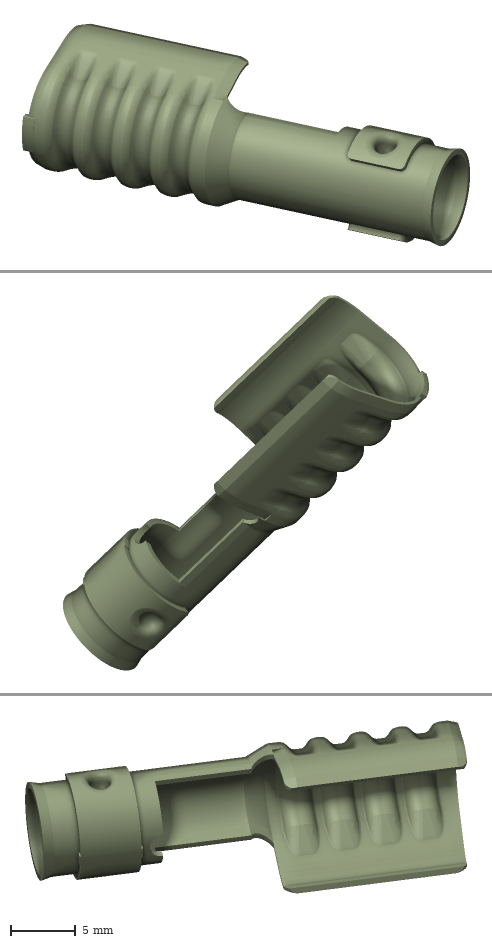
import cadquery as cq
import math

LENGTH = 34.55
SHEET = 0.5

BARREL_END = 15.55
BARREL_RADIUS = 4.85
BARREL_BOTTOM = -4.35
BARREL_CENTRE = BARREL_BOTTOM + BARREL_RADIUS
FLAP_LEAN = math.radians(19)
CROWN_RADIUS = 4.85
CROWN_START = 1.95
LIP_START = 4.15
LIP_DROP = math.radians(23)
LIP_TIP = 4.97
LIP_CORNER = 0.9

BEVEL_DEPTH = 0.25
BEVEL_LENGTH = 0.93
MOUTH_BEVEL_LENGTH = 0.8
MOUTH_X = 0.65
MOUTH_SLOPE = 0.08
REAR_BEVEL_FLOOR = -0.7

TONGUE_WIDTH = 3.05
TONGUE_LENGTH = 0.95

GROOVE_COUNT = 4
GROOVE_PITCH = 3.28
GROOVE_FIRST = 3.35
GROOVE_DEPTH = 0.73
GROOVE_FLOOR_WIDTH = 1.07
GROOVE_FLANK = math.radians(51)
GROOVE_RUNOUT = math.radians(36)
GROOVE_FILLET = 0.7
GROOVE_SPREAD = 0.14
KINK_CLEARANCE = -0.55

TUBE_RADIUS = 3.7
TUBE_BORE = TUBE_RADIUS - SHEET
TUBE_START = 17.3
WINDOW_END = 25.0
WINDOW_FLOOR = 0.07
RIM_FLAT_BOTTOM = -0.55
NECK_NOTCH_RADIUS = 1.0
NECK_NOTCH_X = 16.45
NECK_NOTCH_Y = 0.52
SEAM_NOTCH_RADIUS = 1.1
FLARE_LENGTH = 0.83
FLARE_RISE = 0.2

BAND_WALL = 0.5
BAND_RADIUS = TUBE_RADIUS + BAND_WALL
BAND_START = 26.85
BAND_WIDTH = 4.85
BAND_BOTTOM = -2.65
BAND_CORNER = 0.4
BAND_TAB_WIDTH = 0.95
BAND_TAB_REACH = 0.1

DIMPLE_X = BAND_START + BAND_WIDTH / 2
DIMPLE_Y = -0.52
DIMPLE_TIP = 2.55
DIMPLE_RADIUS = 1.1
DIMPLE_WALL = 0.25
HOLLOW_RADIUS = 0.83
DIMPLE_FILLET = 0.65

FAR = 6.9
OVERRUN = 0.35
TOLERANCE = 0.005


def box(x, y, z):
    """Box from its (low, high) limits along each axis."""
    size = (x[1] - x[0], y[1] - y[0], z[1] - z[0])
    return cq.Workplane("XY").box(*size, centered=False).translate((x[0], y[0], z[0]))


def rod(x0, x1, radius, radius_end=None, centre=0.0, centre_end=None):
    """Solid along X, straight or tapering to a second radius and centre height."""
    radius_end = radius if radius_end is None else radius_end
    centre_end = centre if centre_end is None else centre_end
    return (
        cq.Workplane("YZ", origin=(x0, 0, 0)).center(centre, 0).circle(radius)
        .workplane(offset=x1 - x0).center(centre_end - centre, 0).circle(radius_end)
        .loft(ruled=True)
    )


def loft(first, second):
    return cq.Workplane(cq.Solid.makeLoft([first, second], True))


def prism(wire, length):
    return cq.Workplane(cq.Solid.extrudeLinear(wire, [], cq.Vector(length, 0, 0)))


def flap_points(depth):
    """Section points of the +Z flap on the surface lying `depth` inside the outer one."""
    lean_sin = math.sin(FLAP_LEAN)
    lean_cos = math.cos(FLAP_LEAN)
    wall_y = BARREL_CENTRE - BARREL_RADIUS * lean_sin
    wall_z = BARREL_RADIUS * lean_cos
    crown_z = wall_z + (CROWN_START - wall_y) * math.tan(FLAP_LEAN)
    centre_y = CROWN_START + CROWN_RADIUS * lean_sin
    centre_z = crown_z - CROWN_RADIUS * lean_cos

    drop_sin = math.sin(LIP_DROP)
    drop_cos = math.cos(LIP_DROP)
    bend_y = LIP_START - centre_y
    bend_z = math.sqrt(CROWN_RADIUS**2 - bend_y**2)
    lip_distance = bend_y * drop_sin + bend_z * drop_cos - depth
    crown_radius = CROWN_RADIUS - depth
    back = math.sqrt(crown_radius**2 - lip_distance**2)
    tip_z = centre_z + bend_z - (LIP_TIP - LIP_START) * math.tan(LIP_DROP)

    wall = (wall_y + depth * lean_sin, wall_z - depth * lean_cos)
    crown = (CROWN_START + depth * lean_sin, crown_z - depth * lean_cos)
    bend = (
        centre_y + lip_distance * drop_sin - back * drop_cos,
        centre_z + lip_distance * drop_cos + back * drop_sin,
    )
    tip = (LIP_TIP - depth * drop_sin, tip_z - depth * drop_cos)
    middle_angle = (math.atan2(crown[0] - centre_y, crown[1] - centre_z)
                    + math.atan2(bend[0] - centre_y, bend[1] - centre_z)) / 2
    middle = (
        centre_y + crown_radius * math.sin(middle_angle),
        centre_z + crown_radius * math.cos(middle_angle),
    )
    return wall, crown, middle, bend, tip


def mirror(point):
    return (point[0], -point[1])


def barrel_section(x, depth, ending=()):
    """Closed barrel section; `ending` holds extra corners after the +Z lip tip."""
    wall, crown, middle, bend, tip = flap_points(depth)
    path = (
        cq.Workplane("YZ", origin=(x, 0, 0)).moveTo(*tip).lineTo(*bend)
        .threePointArc(middle, crown).lineTo(*wall)
        .threePointArc((BARREL_BOTTOM + depth, 0), mirror(wall))
        .lineTo(*mirror(crown)).threePointArc(mirror(middle), mirror(bend))
        .lineTo(*mirror(tip))
    )
    for corner in ending:
        path = path.lineTo(*mirror(corner))
    for corner in reversed(ending):
        path = path.lineTo(*corner)
    return path.close().val()


def half_groove_floor(inset):
    return GROOVE_FLOOR_WIDTH / 2 + inset * math.tan(GROOVE_FLANK / 2)


def groove_profile(inset, spread):
    """Groove profile with rounded floor corners, its floor widened by `spread` per side."""
    floor = BARREL_RADIUS - GROOVE_DEPTH - inset
    floor_fillet = GROOVE_FILLET + inset
    half_floor = half_groove_floor(inset) + spread
    setback = floor_fillet * math.tan(GROOVE_FLANK / 2)
    flat = half_floor - setback
    half_top = half_floor + (FAR - floor) / math.tan(GROOVE_FLANK)
    arc_x = half_floor + setback * math.cos(GROOVE_FLANK)
    arc_y = floor + setback * math.sin(GROOVE_FLANK)
    middle_x = flat + floor_fillet * math.sin(GROOVE_FLANK / 2)
    middle_y = floor + floor_fillet * (1 - math.cos(GROOVE_FLANK / 2))
    return (
        cq.Workplane("XY").moveTo(-flat, floor).lineTo(flat, floor)
        .threePointArc((middle_x, middle_y), (arc_x, arc_y))
        .lineTo(half_top, FAR).lineTo(-half_top, FAR).lineTo(-arc_x, arc_y)
        .threePointArc((-middle_x, middle_y), (-flat, floor)).close()
    )


def groove_cutter(inset):
    """Groove bar at X = 0, bent round the trough and leaving its walls along run-outs.

    `inset` is 0 for the outer side of the sheet and SHEET for the inner side.
    """
    lean = math.degrees(FLAP_LEAN)
    bend = groove_profile(inset, 0).revolve(180 - 2 * lean, (0, 0, 0), (1, 0, 0))
    bend = bend.rotate((0, 0, 0), (1, 0, 0), 90 + lean)

    x_axis = cq.Vector(1, 0, 0)
    run = cq.Vector(0, math.cos(GROOVE_RUNOUT), math.sin(GROOVE_RUNOUT)) * FAR
    near = groove_profile(inset, 0).val().rotate(cq.Vector(), x_axis, 90 + lean)
    far = groove_profile(inset, GROOVE_SPREAD * FAR).val().rotate(cq.Vector(), x_axis, 90 + lean)
    runout = loft(near, far.translate(run))
    return bend.union(runout).union(runout.mirror("XY")).translate((0, BARREL_CENTRE, 0))


def rim_edges(body, half_rim):
    """Sharp rim of a groove at X = 0: straight sides round the bottom and run-out ends."""
    rim = []
    for edge in body.edges().vals():
        bounds = edge.BoundingBox()
        centre = edge.Center()
        near = max(-bounds.xmin, bounds.xmax) < half_rim + TOLERANCE
        side = bounds.xlen < TOLERANCE and abs(abs(centre.x) - half_rim) < TOLERANCE
        end = bounds.xlen > TOLERANCE and KINK_CLEARANCE < centre.y < CROWN_START - TOLERANCE
        if near and (side or end):
            rim.append(edge)
    return rim


def cut_grooves(body, blank, inset):
    """Press the row of grooves into a trough; `blank` is a plain trough centred on X = 0."""
    half_rim = half_groove_floor(inset) + GROOVE_DEPTH / math.tan(GROOVE_FLANK)
    grooved = blank.cut(groove_cutter(inset))
    rounded = grooved.val().fillet(GROOVE_FILLET - inset, rim_edges(grooved, half_rim))
    groove = blank.cut(cq.Workplane(rounded))
    for index in range(GROOVE_COUNT):
        body = body.cut(groove.translate((GROOVE_FIRST + index * GROOVE_PITCH, 0, 0)))
    return body


def slanted(body):
    """Shear a body so that planes square to X become parallel to the barrel mouth."""
    shear = cq.Matrix([[1, MOUTH_SLOPE, 0, 0], [0, 1, 0, 0], [0, 0, 1, 0]])
    return cq.Workplane(body.val().transformGeometry(shear))


def barrel_envelope():
    """Trough filled to its outer surface, with bevelled ends and rounded lip corners."""
    mouth_full = MOUTH_X + MOUTH_BEVEL_LENGTH
    rear_full = BARREL_END - BEVEL_LENGTH
    mouth = slanted(loft(barrel_section(MOUTH_X, BEVEL_DEPTH), barrel_section(mouth_full, 0)))
    middle_blank = slanted(box((mouth_full, LENGTH), (-FAR, FAR), (-FAR, FAR)))
    middle = prism(barrel_section(0, 0), rear_full).intersect(middle_blank)
    rear = loft(barrel_section(rear_full, 0), barrel_section(BARREL_END, BEVEL_DEPTH))
    rear_floor = prism(barrel_section(rear_full, 0), BEVEL_LENGTH).intersect(
        box((0, LENGTH), (-FAR, REAR_BEVEL_FLOOR), (-FAR, FAR)))
    tongue = prism(barrel_section(0, 0), mouth_full).intersect(
        box((0, TONGUE_LENGTH), (-FAR, 0), (-TONGUE_WIDTH / 2, TONGUE_WIDTH / 2)))
    trough = middle.union(mouth).union(rear).union(rear_floor)

    mouth_low = MOUTH_X - MOUTH_SLOPE * FAR
    mouth_high = MOUTH_X + MOUTH_SLOPE * LIP_TIP
    side_outline = (
        cq.Workplane("XY", origin=(0, 0, -FAR))
        .polyline([(mouth_low, -FAR), (BARREL_END, -FAR), (BARREL_END, LIP_TIP), (mouth_high, LIP_TIP)])
        .close().extrude(2 * FAR).edges("|Z and >Y").fillet(LIP_CORNER)
    )
    return trough.intersect(side_outline).union(tongue)


def cavity_section(x):
    """Section of the space inside the barrel, open past the lips."""
    outer_tip = flap_points(0)[-1]
    inner_tip = flap_points(SHEET)[-1]
    past_tip = (2 * outer_tip[0] - inner_tip[0], 2 * outer_tip[1] - inner_tip[1])
    return barrel_section(x, SHEET, [past_tip, (FAR, past_tip[1])])


def make_barrel():
    half_pitch = GROOVE_PITCH / 2
    outer_blank = prism(barrel_section(-half_pitch, 0), GROOVE_PITCH)
    inner_blank = prism(cavity_section(-half_pitch), GROOVE_PITCH)
    cavity = prism(cavity_section(-OVERRUN), BARREL_END + OVERRUN)
    outside = cut_grooves(barrel_envelope(), outer_blank, 0)
    inside = cut_grooves(cavity, inner_blank, SHEET)
    return outside.cut(inside)


def make_neck():
    outside = rod(BARREL_END, TUBE_START, BARREL_RADIUS, TUBE_RADIUS, BARREL_CENTRE, 0)
    inside = rod(BARREL_END, TUBE_START, BARREL_RADIUS - SHEET, TUBE_BORE, BARREL_CENTRE, 0)
    notch = (
        cq.Workplane("XY", origin=(NECK_NOTCH_X, NECK_NOTCH_Y, -FAR))
        .circle(NECK_NOTCH_RADIUS).extrude(2 * FAR)
    )
    above = box((0, LENGTH), (WINDOW_FLOOR, FAR), (-FAR, FAR))
    return outside.cut(inside).cut(above).cut(notch)


def make_tube():
    flare_start = LENGTH - FLARE_LENGTH
    outside = rod(TUBE_START, flare_start, TUBE_RADIUS).union(
        rod(flare_start, LENGTH, TUBE_RADIUS, TUBE_RADIUS + FLARE_RISE))
    inside = rod(TUBE_START, flare_start, TUBE_BORE).union(
        rod(flare_start, LENGTH, TUBE_BORE, TUBE_BORE + FLARE_RISE))
    window = box((0, WINDOW_END), (WINDOW_FLOOR, FAR), (-FAR, FAR))
    seam_notch = (
        cq.Workplane("XZ", origin=(WINDOW_END, 0, 0))
        .circle(SEAM_NOTCH_RADIUS).extrude(-FAR)
    )
    tube = outside.cut(inside).cut(window).cut(seam_notch)

    rim_z = math.sqrt(TUBE_RADIUS**2 - RIM_FLAT_BOTTOM**2)
    for side in (-1, 1):
        z_limits = sorted((side * rim_z, side * FAR))
        tube = tube.cut(box((TUBE_START, WINDOW_END), (RIM_FLAT_BOTTOM, FAR), z_limits))
    hole = (
        cq.Workplane("XY", origin=(DIMPLE_X, DIMPLE_Y, -FAR))
        .circle(DIMPLE_RADIUS).extrude(2 * FAR)
    )
    return tube.cut(hole)


def make_contact():
    return make_barrel().union(make_neck()).union(make_tube())


def ring_arc(x0, x1):
    """Ring segment round the tube, open toward -Y, with radial ends."""
    end_z = math.sqrt(BAND_RADIUS**2 - BAND_BOTTOM**2)
    past_ring = FAR / TUBE_RADIUS
    end = (BAND_BOTTOM * past_ring, end_z * past_ring)
    opening = (
        cq.Workplane("YZ", origin=(x0, 0, 0))
        .polyline([(0, 0), end, (end[0], -end[1])]).close().extrude(x1 - x0)
    )
    return rod(x0, x1, BAND_RADIUS).cut(rod(x0, x1, TUBE_RADIUS)).cut(opening)


def dimple_bulge():
    """Ball pressed inward from the strap, trimmed to the outer face of the strap."""
    ball = cq.Workplane("XY").sphere(DIMPLE_RADIUS)
    ball = ball.translate((DIMPLE_X, DIMPLE_Y, DIMPLE_TIP + DIMPLE_RADIUS))
    return ball.intersect(rod(BAND_START, BAND_START + BAND_WIDTH, BAND_RADIUS))


def dimple_hollow():
    """Round-bottomed hollow with its mouth rounded into the outer face of the strap."""
    centre = (DIMPLE_X, DIMPLE_Y, DIMPLE_TIP + DIMPLE_WALL + HOLLOW_RADIUS)
    drill = cq.Workplane("XY").circle(HOLLOW_RADIUS).extrude(FAR)
    drill = drill.union(cq.Workplane("XY").sphere(HOLLOW_RADIUS)).translate(centre)
    upper_half = box((0, LENGTH), (-FAR, FAR), (0, FAR))
    blank = rod(BAND_START, BAND_START + BAND_WIDTH, BAND_RADIUS).intersect(upper_half)
    above_dimple = (DIMPLE_X, DIMPLE_Y - HOLLOW_RADIUS, BAND_RADIUS)
    mouth = cq.selectors.NearestToPointSelector(above_dimple)
    return blank.cut(blank.cut(drill).edges(mouth).fillet(DIMPLE_FILLET))


def make_band():
    band_end = BAND_START + BAND_WIDTH
    strap = ring_arc(BAND_START, band_end)
    strap = strap.edges(cq.selectors.LengthNthSelector(0)).fillet(BAND_CORNER)
    bulge = dimple_bulge()
    hollow = dimple_hollow()
    strap = strap.union(bulge).union(bulge.mirror("XY"))
    strap = strap.cut(hollow).cut(hollow.mirror("XY"))

    tab_space = box((0, LENGTH), (0, FAR), (-BAND_TAB_WIDTH / 2, BAND_TAB_WIDTH / 2))
    tab = ring_arc(BAND_START - BAND_TAB_REACH, band_end + BAND_TAB_REACH).intersect(tab_space)
    return strap.union(tab)


contact = make_contact()
band = make_band()
result = cq.Compound.makeCompound([contact.solids().val(), band.solids().val()])